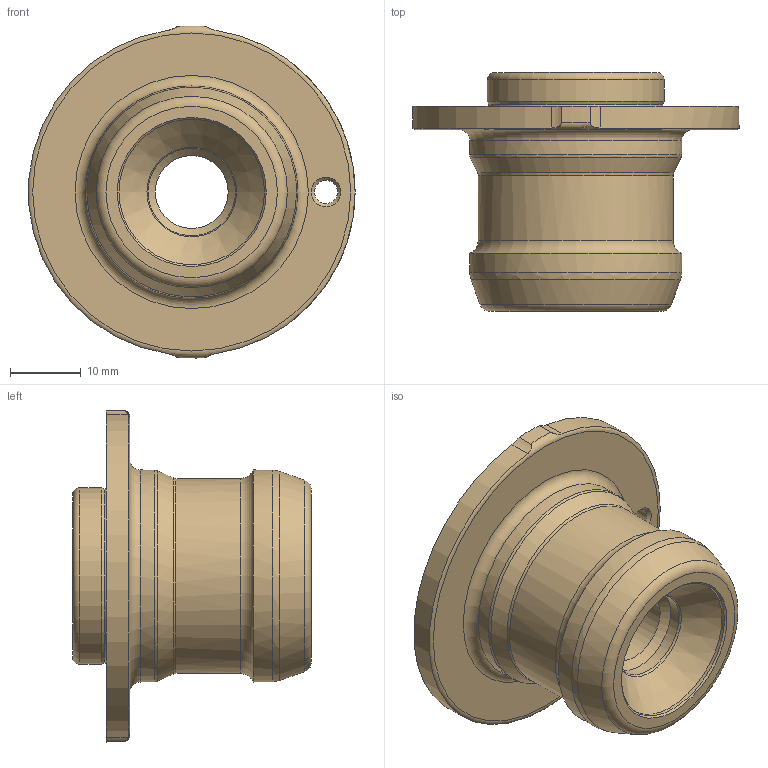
import cadquery as cq
import math


total_length = 33.8
flange_rear = 4.8
flange_thickness = 3.3
flange_front = flange_rear + flange_thickness

spigot_radius = 12.5
spigot_rear_round = 1.0
undercut_length = 0.7
undercut_angle = math.radians(25)
undercut_round = 0.2
undercut_start = flange_rear - undercut_length
undercut_radius = spigot_radius - undercut_length * math.tan(undercut_angle)

flange_radius = 23.12
lobe_radius = 23.5
lobe_half_angle = math.radians(5)
lobe_blend_radius = 3.5
flange_edge_round = 1.0

pin_hole_offset = 19.0
pin_hole_radius = 1.65
pin_hole_chamfer = 0.45

collar_radius = 15.0
waist_radius = 13.8
waist_step = collar_radius - waist_radius
flange_root_round = 1.5
waist_cone_start = 11.84
waist_cone_angle = math.radians(25)
waist_cone_end = waist_cone_start + waist_step / math.tan(waist_cone_angle)
waist_cone_round = 1.0
waist_end = 25.6
waist_end_round = 2.0
waist_round_length = math.sqrt(waist_end_round**2 - (waist_end_round - waist_step)**2)

nose_length = 5.0
nose_angle = math.radians(20)
nose_start = total_length - nose_length
nose_tip_radius = collar_radius - nose_length * math.tan(nose_angle)
nose_start_round = 3.0
nose_tip_round = 1.5

mouth_radius = 10.3
mouth_chamfer = 0.25
mouth_depth = 0.75
throat_radius = 6.2
throat_start_depth = 5.05
throat_end_depth = 6.9
throat_round = 0.5
bore_radius = 5.15
bore_step_length = throat_radius - bore_radius


def round_rim(body, depth, radius, round_radius):
    """Fillet the circular edge of the given radius at the given depth."""
    tolerance = 1e-4

    def is_rim(edge):
        on_depth = abs(edge.Center().y + depth) < tolerance
        return on_depth and edge.geomType() == "CIRCLE" and abs(edge.radius() - radius) < tolerance

    return body.edges().filter(is_rim).fillet(round_radius)


def revolve_about_y(profile):
    return profile.close().revolve(360, (0, 0, 0), (0, 1, 0))


def make_barrel():
    """Solid spigot and barrel, without the flange."""
    sweep = math.asin(waist_round_length / waist_end_round)
    mid_depth = waist_end - waist_round_length + waist_end_round * math.sin(sweep / 2)
    mid_radius = waist_radius + waist_end_round * (1 - math.cos(sweep / 2))
    profile = (
        cq.Workplane("XY")
        .moveTo(0, 0)
        .lineTo(spigot_radius, 0)
        .lineTo(spigot_radius, -undercut_start)
        .lineTo(undercut_radius, -flange_rear)
        .lineTo(collar_radius, -flange_rear)
        .lineTo(collar_radius, -waist_cone_start)
        .lineTo(waist_radius, -waist_cone_end)
        .lineTo(waist_radius, -(waist_end - waist_round_length))
        .threePointArc((mid_radius, -mid_depth), (collar_radius, -waist_end))
        .lineTo(collar_radius, -nose_start)
        .lineTo(nose_tip_radius, -total_length)
        .lineTo(0, -total_length)
    )
    return revolve_about_y(profile)


def make_flange():
    """Round-edged disc trimmed to the lobed outline."""
    disc = (
        cq.Workplane("XZ", origin=(0, -flange_rear, 0))
        .circle(lobe_radius)
        .extrude(flange_thickness)
    )
    disc = round_rim(disc, flange_front, lobe_radius, flange_edge_round)

    blend_centre_distance = flange_radius + lobe_blend_radius
    blend_offset_angle = math.acos(
        (blend_centre_distance**2 + lobe_radius**2 - lobe_blend_radius**2)
        / (2 * blend_centre_distance * lobe_radius)
    )
    blend_angle = lobe_half_angle + blend_offset_angle

    def polar(radius, angle_from_z):
        return radius * math.sin(angle_from_z), radius * math.cos(angle_from_z)

    corner_x, corner_z = polar(lobe_radius, lobe_half_angle)
    tangent_x, tangent_z = polar(flange_radius, blend_angle)

    def blend_middle(side, end):
        """Middle of the flank arc; side is the sign of X, end the sign of Z."""
        centre_x, centre_z = polar(blend_centre_distance, blend_angle)
        toward_x = (corner_x + tangent_x) / 2 - centre_x
        toward_z = (corner_z + tangent_z) / 2 - centre_z
        scale = lobe_blend_radius / math.hypot(toward_x, toward_z)
        return side * (centre_x + scale * toward_x), end * (centre_z + scale * toward_z)

    outline = (
        cq.Workplane("XZ", origin=(0, -flange_rear, 0))
        .moveTo(-corner_x, corner_z)
        .threePointArc((0, lobe_radius), (corner_x, corner_z))
        .threePointArc(blend_middle(1, 1), (tangent_x, tangent_z))
        .threePointArc((flange_radius, 0), (tangent_x, -tangent_z))
        .threePointArc(blend_middle(1, -1), (corner_x, -corner_z))
        .threePointArc((0, -lobe_radius), (-corner_x, -corner_z))
        .threePointArc(blend_middle(-1, -1), (-tangent_x, -tangent_z))
        .threePointArc((-flange_radius, 0), (-tangent_x, tangent_z))
        .threePointArc(blend_middle(-1, 1), (-corner_x, corner_z))
        .close()
        .extrude(flange_thickness)
    )
    return disc.intersect(outline)


def round_outside(body):
    """Fillet the turned corners from the spigot to the nose tip."""
    body = round_rim(body, 0, spigot_radius, spigot_rear_round)
    body = round_rim(body, flange_rear, undercut_radius, undercut_round)
    body = round_rim(body, flange_front, collar_radius, flange_root_round)
    body = round_rim(body, waist_cone_start, collar_radius, waist_cone_round)
    body = round_rim(body, waist_cone_end, waist_radius, waist_cone_round)
    body = round_rim(body, nose_start, collar_radius, nose_start_round)
    return round_rim(body, total_length, nose_tip_radius, nose_tip_round)


def make_bore():
    """Solid filling the mouth, funnel, throat and through bore."""
    mouth_face = -total_length
    profile = (
        cq.Workplane("XY")
        .moveTo(0, mouth_face)
        .lineTo(mouth_radius + mouth_chamfer, mouth_face)
        .lineTo(mouth_radius, mouth_face + mouth_chamfer)
        .lineTo(mouth_radius, mouth_face + mouth_depth)
        .lineTo(throat_radius, mouth_face + throat_start_depth)
        .lineTo(throat_radius, mouth_face + throat_end_depth)
        .lineTo(bore_radius, mouth_face + throat_end_depth + bore_step_length)
        .lineTo(bore_radius, 0)
        .lineTo(0, 0)
    )
    bore = revolve_about_y(profile)
    return round_rim(bore, total_length - throat_start_depth, throat_radius, throat_round)


def make_pin_hole():
    """Through hole with a chamfer on the front of the flange."""
    front = cq.Workplane("XZ", origin=(pin_hole_offset, -flange_front, 0))
    hole = front.circle(pin_hole_radius).extrude(-flange_thickness)
    chamfer = (
        front.circle(pin_hole_radius + pin_hole_chamfer)
        .workplane(offset=-pin_hole_chamfer)
        .circle(pin_hole_radius)
        .loft()
    )
    return hole.union(chamfer)


body = round_outside(make_barrel().union(make_flange()))
result = body.cut(make_bore()).cut(make_pin_hole())